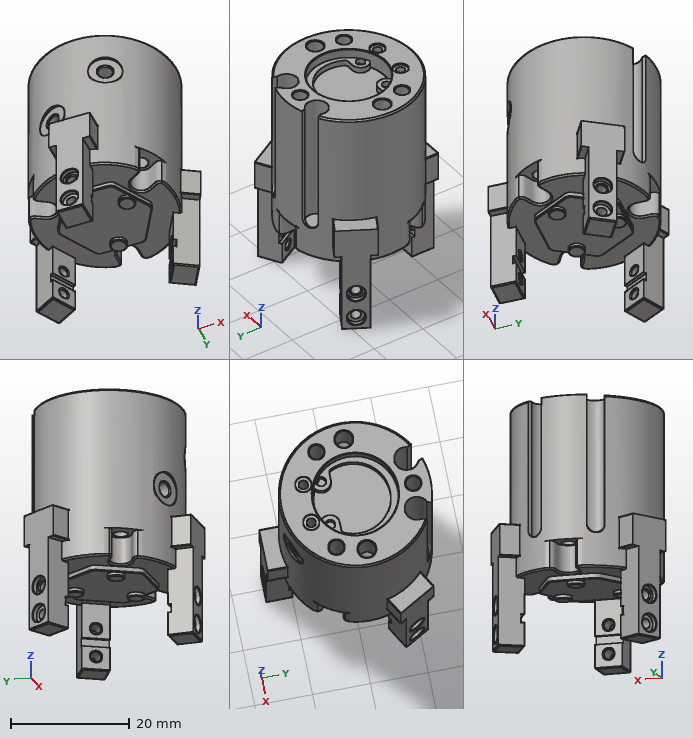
import cadquery as cq
import math

JAW_TURNS = (0, 120, 240)

HOUSING_R = 13.0
HOUSING_H = 30.05
HOUSING_CHAMFER = 0.3

PITCH_R = 10.0
THROUGH_HOLE_R = 1.25
BLIND_HOLE_R = 1.45
BLIND_HOLE_DEPTH = 6.0
HOLE_CHAMFER = 0.15
DRILL_TIP_RATIO = math.tan(math.radians(31))

NOTCH_H = 4.95
NOTCH_HALF_WIDTH = 1.85
NOTCH_FLAT_R = 12.6
NOTCH_WALL_END_R = 11.6
NOTCH_MOUTH_R = 1.15

SENSOR_ANGLES = (65, 115)
SENSOR_PITCH_R = 10.7
SENSOR_BORE_R = 2.05
SENSOR_MOUTH_DEPTH = 22.43
SENSOR_MOUTH_HALF_WIDTH = 1.55
SENSOR_BORE_DEPTH = SENSOR_MOUTH_DEPTH + SENSOR_MOUTH_HALF_WIDTH

PORT_OFFSET_ANGLE = 22.5
LEFT_PORT_Z = 13.6
LEFT_PORT_INNER_R = 6.5
RIGHT_PORT_Z = 21.75
RIGHT_PORT_INNER_R = 8.4
PORT_SPOTFACE_R = 2.95
PORT_FLAT_R = 12.6
PORT_HOLE_R = 1.25
PORT_CHAMFER = 0.2
PASSAGE_PITCH_R = 9.0
PASSAGE_R = 0.8
PASSAGE_SEAT_R = 1.4
PASSAGE_SEAT_DEPTH = 0.35

BORE_R = 7.3
BORE_CHAMFER = 0.13
RING_TOP_DEPTH = 1.8
RING_T = 1.1
RING_OPENING_R = 6.4
RING_OPENING_SHIFT = 0.38
RING_OPENING_FILLET = 0.65
LUG_X = 3.9
LUG_Y = -5.12
LUG_R = 1.7
LUG_HOLE_R = 0.85
CAP_T = 2.0
CAP_CHAMFER = 0.25

JAW_REACH = 15.88
JAW_INNER = 11.35
JAW_HEAD_W = 7.5
JAW_HEAD_BOTTOM = 3.5
JAW_HEAD_TOP = 9.0
JAW_HEAD_CHAMFER = 0.13
JAW_LEG_W = 4.87
JAW_TIP_Z = -11.95
JAW_TIP_CHAMFER = 0.2
JAW_GROOVE_Z = -6.97
JAW_GROOVE_H = 1.5
JAW_GROOVE_DEPTH = 0.6
JAW_HOLE_SPACING = 5.05
JAW_HOLE_R = 0.9
JAW_HOLE_CHAMFER = 0.2
JAW_SEAT_R = 1.55
JAW_SEAT_DEPTH = 0.9
JAW_SEAT_CHAMFER = 0.105

COVER_ACROSS_FLATS = 15.1
COVER_T = 0.95
COVER_CORNER_R = 1.4
COVER_CHAMFER = 0.15
SCREW_PITCH_R = 6.1
SCREW_HEAD_R = 1.45
SCREW_HEAD_T = 0.7
SCREW_CHAMFER = 0.15

RING_BOTTOM_Z = HOUSING_H - RING_TOP_DEPTH - RING_T


def turned(shape, angle):
    """Copy of a shape turned about the gripper axis."""
    return shape.rotate((0, 0, 0), (0, 0, 1), angle)


def polar_point(radius, angle):
    """X and Y of a point at a radius and an angle in degrees from +X."""
    return (radius * math.cos(math.radians(angle)), radius * math.sin(math.radians(angle)))


def radial_cone(large_r, small_r, face_y, direction):
    """Cone with 45 degree sides whose large end lies in the plane Y = face_y."""
    return cq.Workplane(
        cq.Solid.makeCone(
            large_r, small_r, large_r - small_r, cq.Vector(0, face_y, 0), cq.Vector(0, direction, 0)
        )
    )


def radial_cylinder(radius, inner, outer):
    """Cylinder pointing along -Y at Z = 0, between two distances from the gripper axis."""
    return cq.Workplane("XZ", origin=(0, -inner, 0)).circle(radius).extrude(outer - inner)


def jaw_outline(bottom_z, chamfer):
    """T-shaped prism of a jaw on the -Y side, its head edges chamfered if asked."""
    depth = JAW_REACH - JAW_INNER
    leg = (
        cq.Workplane("XY", origin=(0, -JAW_INNER - depth / 2, bottom_z))
        .rect(JAW_LEG_W, depth)
        .extrude(JAW_HEAD_BOTTOM + JAW_HEAD_CHAMFER - bottom_z)
    )
    head = (
        cq.Workplane("XZ", origin=(0, -JAW_INNER, (JAW_HEAD_TOP + JAW_HEAD_BOTTOM) / 2))
        .rect(JAW_HEAD_W, JAW_HEAD_TOP - JAW_HEAD_BOTTOM)
        .extrude(depth)
    )
    if chamfer:
        head = head.edges("|Y").chamfer(chamfer)
    return leg.union(head)


def jaw_screw_hole(inner_seat_chamfer):
    """Cutter for one jaw hole at Z = 0: through hole, outer seat and chamfers."""
    seat_floor = JAW_REACH - JAW_SEAT_DEPTH
    wide_r = JAW_HOLE_R + JAW_HOLE_CHAMFER
    cutter = radial_cylinder(JAW_HOLE_R, JAW_INNER, JAW_REACH)
    cutter = cutter.union(radial_cylinder(JAW_SEAT_R, seat_floor, JAW_REACH))
    cutter = cutter.union(radial_cone(JAW_SEAT_R + JAW_SEAT_CHAMFER, JAW_SEAT_R, -JAW_REACH, 1))
    cutter = cutter.union(radial_cone(wide_r, JAW_HOLE_R, -JAW_INNER, -1))
    if inner_seat_chamfer:
        cutter = cutter.union(radial_cone(wide_r, JAW_HOLE_R, -seat_floor, 1))
    return cutter


def make_jaw():
    """Jaw on the -Y side: T-shaped, with a gripping groove between two screw holes."""
    jaw = jaw_outline(JAW_TIP_Z, JAW_HEAD_CHAMFER).faces("<Z").edges().chamfer(JAW_TIP_CHAMFER)
    groove = (
        cq.Workplane("XY")
        .box(JAW_LEG_W, 2 * JAW_GROOVE_DEPTH, JAW_GROOVE_H)
        .translate((0, -JAW_INNER, JAW_GROOVE_Z))
    )
    upper_hole = jaw_screw_hole(True).translate((0, 0, JAW_GROOVE_Z + JAW_HOLE_SPACING / 2))
    lower_hole = jaw_screw_hole(False).translate((0, 0, JAW_GROOVE_Z - JAW_HOLE_SPACING / 2))
    return jaw.cut(groove).cut(upper_hole).cut(lower_hole)


def top_hole(radius, depth, chamfer):
    """Cutter on the gripper axis for a chamfered hole in the housing's top face."""
    mouth = cq.Solid.makeCone(
        radius + chamfer, radius, chamfer, cq.Vector(0, 0, HOUSING_H), cq.Vector(0, 0, -1)
    )
    hole = cq.Workplane("XY", origin=(0, 0, HOUSING_H - depth)).circle(radius).extrude(depth)
    return hole.union(cq.Workplane(mouth))


def blind_mounting_hole():
    """Cutter on the gripper axis for a blind hole with a drill point."""
    tip = cq.Solid.makeCone(
        BLIND_HOLE_R,
        0,
        BLIND_HOLE_R * DRILL_TIP_RATIO,
        cq.Vector(0, 0, HOUSING_H - BLIND_HOLE_DEPTH),
        cq.Vector(0, 0, -1),
    )
    return top_hole(BLIND_HOLE_R, BLIND_HOLE_DEPTH, HOLE_CHAMFER).union(cq.Workplane(tip))


def relief_notch():
    """Cutter on the +Y side: round-ended slot whose rounded mouth opens into a shallow outer flat."""
    half = NOTCH_HALF_WIDTH
    arc_centre_x = half + NOTCH_MOUTH_R
    end_turn = math.asin((NOTCH_FLAT_R - NOTCH_WALL_END_R) / NOTCH_MOUTH_R)
    end_x = arc_centre_x - NOTCH_MOUTH_R * math.cos(end_turn)
    middle_x = arc_centre_x - NOTCH_MOUTH_R * math.cos(end_turn / 2)
    middle_y = NOTCH_WALL_END_R + NOTCH_MOUTH_R * math.sin(end_turn / 2)
    slot = (
        cq.Workplane("XY")
        .moveTo(-half, PITCH_R)
        .threePointArc((0, PITCH_R - half), (half, PITCH_R))
        .lineTo(half, NOTCH_WALL_END_R)
        .threePointArc((middle_x, middle_y), (end_x, NOTCH_FLAT_R))
        .lineTo(-end_x, NOTCH_FLAT_R)
        .threePointArc((-middle_x, middle_y), (-half, NOTCH_WALL_END_R))
        .close()
        .extrude(NOTCH_H)
    )
    flat_depth = HOUSING_R - NOTCH_FLAT_R
    flat = (
        cq.Workplane("XY", origin=(0, NOTCH_FLAT_R + flat_depth / 2, 0))
        .rect(HOUSING_R, flat_depth)
        .extrude(NOTCH_H)
    )
    return slot.union(flat)


def sensor_slot():
    """Cutter on the +X side: flat-ended bore and a mouth whose lower end is round."""
    bore = (
        cq.Workplane("XY", origin=(SENSOR_PITCH_R, 0, HOUSING_H - SENSOR_BORE_DEPTH))
        .circle(SENSOR_BORE_R)
        .extrude(SENSOR_BORE_DEPTH)
    )
    half = SENSOR_MOUTH_HALF_WIDTH
    arc_z = HOUSING_H - SENSOR_MOUTH_DEPTH
    mouth = (
        cq.Workplane("YZ", origin=(SENSOR_PITCH_R, 0, 0))
        .moveTo(-half, HOUSING_H)
        .lineTo(-half, arc_z)
        .threePointArc((0, arc_z - half), (half, arc_z))
        .lineTo(half, HOUSING_H)
        .close()
        .extrude(HOUSING_R - SENSOR_PITCH_R)
    )
    return bore.union(mouth)


def air_port(port_z, inner_r):
    """Cutter on the -Y side: spotfaced port with a drill point, and the vertical passage that reaches it."""
    port = radial_cylinder(PORT_SPOTFACE_R, PORT_FLAT_R, HOUSING_R)
    port = port.union(radial_cylinder(PORT_HOLE_R, inner_r, PORT_FLAT_R))
    tip = cq.Solid.makeCone(
        PORT_HOLE_R,
        0,
        PORT_HOLE_R * DRILL_TIP_RATIO,
        cq.Vector(0, -inner_r, 0),
        cq.Vector(0, 1, 0),
    )
    port = port.union(cq.Workplane(tip))
    port = port.union(radial_cone(PORT_HOLE_R + PORT_CHAMFER, PORT_HOLE_R, -PORT_FLAT_R, 1))
    port = port.translate((0, 0, port_z))
    passage = (
        cq.Workplane("XY", origin=(0, -PASSAGE_PITCH_R, port_z))
        .circle(PASSAGE_R)
        .extrude(HOUSING_H - port_z)
    )
    seat = (
        cq.Workplane("XY", origin=(0, -PASSAGE_PITCH_R, HOUSING_H - PASSAGE_SEAT_DEPTH))
        .circle(PASSAGE_SEAT_R)
        .extrude(PASSAGE_SEAT_DEPTH)
    )
    return port.union(passage).union(seat)


def make_housing():
    """Cylindrical housing with all the bores, slots and notches cut into it."""
    body = (
        cq.Workplane("XY", origin=(0, 0, HOUSING_CHAMFER))
        .circle(HOUSING_R)
        .extrude(HOUSING_H - HOUSING_CHAMFER)
        .faces(">Z")
        .edges()
        .chamfer(HOUSING_CHAMFER)
    )
    for angle in JAW_TURNS:
        body = body.cut(turned(relief_notch(), angle))
    chamfered_foot = (
        body.faces("<Z").wires().toPending().workplane().extrude(HOUSING_CHAMFER, taper=45)
    )
    body = chamfered_foot
    sharp_edge = (
        cq.Workplane("XY", origin=(0, 0, HOUSING_H - HOUSING_CHAMFER))
        .circle(HOUSING_R)
        .extrude(HOUSING_CHAMFER)
    )
    sharp_corner_x, sharp_corner_y = polar_point(SENSOR_PITCH_R, SENSOR_ANGLES[0])
    sharp_edge = sharp_edge.intersect(
        cq.Workplane("XY", origin=(0, sharp_corner_y + HOUSING_R / 2, 0))
        .rect(2 * sharp_corner_x, HOUSING_R)
        .extrude(HOUSING_H)
    )
    body = body.union(sharp_edge)
    body = body.cut(top_hole(BORE_R, RING_TOP_DEPTH + RING_T + CAP_T, BORE_CHAMFER))

    jaw_slot = jaw_outline(0, 0)
    through_hole = top_hole(THROUGH_HOLE_R, HOUSING_H, HOLE_CHAMFER).translate((0, PITCH_R, 0))
    for angle in JAW_TURNS:
        body = body.cut(turned(jaw_slot, angle))
        body = body.cut(turned(through_hole, angle))

    for x in (-PITCH_R, PITCH_R):
        body = body.cut(blind_mounting_hole().translate((x, 0, 0)))
    for angle in SENSOR_ANGLES:
        body = body.cut(turned(sensor_slot(), angle))
    body = body.cut(turned(air_port(LEFT_PORT_Z, LEFT_PORT_INNER_R), -PORT_OFFSET_ANGLE))
    body = body.cut(turned(air_port(RIGHT_PORT_Z, RIGHT_PORT_INNER_R), PORT_OFFSET_ANGLE))
    return body


def make_end_cap():
    """Disc held in the bore below the retaining ring, its upper edge chamfered."""
    disc = cq.Workplane("XY", origin=(0, 0, RING_BOTTOM_Z - CAP_T)).circle(BORE_R).extrude(CAP_T)
    return disc.faces(">Z").edges().chamfer(CAP_CHAMFER)


def make_retaining_ring():
    """Open ring with an eccentric opening and a drilled lug at each end, its gap facing -Y."""
    plane = cq.Workplane("XY", origin=(0, 0, RING_BOTTOM_Z))
    disc = plane.circle(BORE_R).extrude(RING_T)
    opening = plane.center(0, -RING_OPENING_SHIFT).circle(RING_OPENING_R).extrude(RING_T)
    lug_top = LUG_Y + LUG_R
    below_lugs = plane.center(0, lug_top - BORE_R / 2).rect(2 * BORE_R, BORE_R).extrude(RING_T)
    opening = opening.cut(below_lugs).edges("|Z").fillet(RING_OPENING_FILLET)
    gap = plane.center(0, lug_top - BORE_R / 2).rect(2 * LUG_X, BORE_R).extrude(RING_T)
    lug_centres = plane.pushPoints([(-LUG_X, LUG_Y), (LUG_X, LUG_Y)])
    lugs = lug_centres.circle(LUG_R).extrude(RING_T)
    lug_holes = lug_centres.circle(LUG_HOLE_R).extrude(RING_T)
    return disc.cut(opening).cut(gap.cut(lugs)).cut(lug_holes)


def make_cover():
    """Hexagonal cover under the housing, with flats facing the jaws and the notches."""
    across_corners = COVER_ACROSS_FLATS / math.cos(math.radians(30))
    return (
        cq.Workplane("XY", origin=(0, 0, -COVER_T))
        .polygon(6, across_corners)
        .extrude(COVER_T)
        .edges("|Z")
        .fillet(COVER_CORNER_R)
        .faces("<Z")
        .edges()
        .chamfer(COVER_CHAMFER)
    )


def make_screw():
    """Flat screw head under the cover on the +Y side."""
    return (
        cq.Workplane("XY", origin=(0, SCREW_PITCH_R, -COVER_T - SCREW_HEAD_T))
        .circle(SCREW_HEAD_R)
        .extrude(SCREW_HEAD_T)
        .faces("<Z")
        .edges()
        .chamfer(SCREW_CHAMFER)
    )


housing = make_housing()
end_cap = make_end_cap()
retaining_ring = make_retaining_ring()
cover = make_cover()
jaws = [turned(make_jaw(), angle) for angle in JAW_TURNS]
screws = [turned(make_screw(), angle) for angle in JAW_TURNS]

result = cq.Compound.makeCompound(
    [housing.val(), end_cap.val(), retaining_ring.val(), cover.val()]
    + [jaw.val() for jaw in jaws]
    + [screw.val() for screw in screws]
)